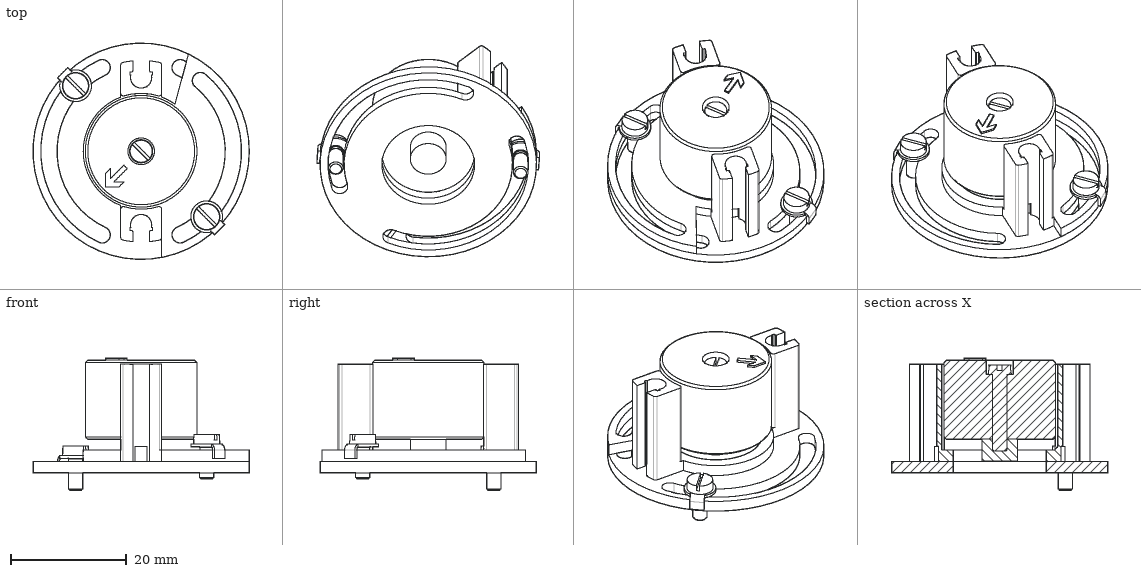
import cadquery as cq
import math

plate_diameter = 37.4
plate_thickness = 2.0
centre_hole_diameter = 16.0
holder_thickness = 2.0
ring_diameter = 20.0
base_top = plate_thickness
holder_top = base_top + holder_thickness

bolt_circle_radius = 15.95
slot_width = 2.75
slot_end_angle = 65.0
sector_turn = 15.0

pillar_width = 7.05
pillar_top = 18.77
pillar_outer_radius = 15.67
pillar_fillet = 0.5
channel_opening = 2.88
channel_diameter = 3.65
channel_centre = 12.75
undercut_width = 3.9
undercut_start = 13.2
undercut_end = 13.73
recess_width = 2.05
recess_top = 4.55
recess_floor = 10.62
wedge_size = 0.55

knob_diameter = 19.3
knob_bottom = 5.75
knob_top = 19.45
knob_chamfer = 0.4
knob_bore_diameter = 4.6
arrow_height = 0.35
arrow_tail = 3.8
arrow_tip = 8.68
arrow_half_width = 1.65
arrow_stem_half_width = 0.4
arrow_band = 1.2
arrow_angle = 225.0

spindle_diameter = 6.2
spindle_bottom = base_top

head_top_diameter = 4.4
head_bottom_diameter = 4.55
head_height = 1.65
neck_diameter = 2.4
shoulder_length = 0.65
neck_length = 0.65
shank_diameter = 2.5
shank_tip_diameter = 2.0
shank_length = 6.02
driver_slot_width = 0.52
driver_slot_depth = 0.95
clamp_angles = (135.0, -45.0)
driver_slot_angle = 135.0

centre_head_top_diameter = 3.8
centre_head_bottom_diameter = 4.0
centre_head_depth = 0.82
centre_screw_depth_in_spindle = 2.0
centre_screw_tip = knob_bottom - centre_screw_depth_in_spindle
centre_screw_seat = knob_top - centre_head_depth - head_height

washer_diameter = 5.5
washer_hole_diameter = 2.7
washer_thickness = 0.5
washer_lift = 0.52
tab_width = 2.5
tab_drop = 2.55
tab_bend_inner_radius = 0.52
screw_circle_radius = 16.0
tab_inner_face = plate_diameter / 2 - screw_circle_radius


def disc(diameter, bottom, top):
    return cq.Workplane("XY").workplane(offset=bottom).circle(diameter / 2).extrude(top - bottom)


def block(x_range, y_range, z_range):
    sizes = [high - low for low, high in (x_range, y_range, z_range)]
    return cq.Workplane("XY").box(*sizes, centered=False).translate((x_range[0], y_range[0], z_range[0]))


def polar(radius, angle):
    return (radius * math.cos(math.radians(angle)), radius * math.sin(math.radians(angle)))


def turned(shape, angle):
    return shape.rotate((0, 0, 0), (0, 0, 1), angle)


def curved_slot(start_angle, end_angle):
    """Cutter for a round-ended slot that follows the bolt circle."""
    inner = bolt_circle_radius - slot_width / 2
    outer = bolt_circle_radius + slot_width / 2
    middle_angle = (start_angle + end_angle) / 2
    end_cap = math.degrees(slot_width / 2 / bolt_circle_radius)
    return (
        cq.Workplane("XY")
        .moveTo(*polar(inner, start_angle))
        .threePointArc(polar(inner, middle_angle), polar(inner, end_angle))
        .threePointArc(polar(bolt_circle_radius, end_angle + end_cap), polar(outer, end_angle))
        .threePointArc(polar(outer, middle_angle), polar(outer, start_angle))
        .threePointArc(polar(bolt_circle_radius, start_angle - end_cap), polar(inner, start_angle))
        .close()
        .extrude(holder_top)
    )


def make_base_plate():
    plate = disc(plate_diameter, 0, base_top).cut(disc(centre_hole_diameter, 0, base_top))
    for middle in (0.0, 180.0):
        plate = plate.cut(curved_slot(middle - slot_end_angle, middle + slot_end_angle))
    return plate


def pillar_blank(bottom, top):
    """Pillar on the -Y side, between the ring and the outer arc, with sharp corners."""
    strip = block((-pillar_width / 2, pillar_width / 2), (-pillar_outer_radius, 0), (bottom, top))
    hollow = disc(ring_diameter, bottom, top)
    return strip.intersect(disc(2 * pillar_outer_radius, bottom, top)).cut(hollow)


def channel():
    """Cutter for the keyhole channel and the flat recess at its foot, on the -Y side."""
    z_range = (base_top, pillar_top)
    bore = disc(channel_diameter, *z_range).translate((0, -channel_centre, 0))
    opening_x = (-channel_opening / 2, channel_opening / 2)
    opening = block(opening_x, (-pillar_outer_radius, -channel_centre), z_range)
    undercut_x = (-undercut_width / 2, undercut_width / 2)
    undercut = block(undercut_x, (-undercut_end, -undercut_start), z_range)
    recess_x = (-recess_width / 2, recess_width / 2)
    recess = block(recess_x, (-channel_centre, -recess_floor), (base_top, recess_top))
    return bore.union(opening).union(undercut).union(recess)


def pillar(rounded_foot_corners):
    """Pillar on the -Y side; the foot stays sharp where it runs into the ring or the sector."""
    column = pillar_blank(holder_top, pillar_top).edges("|Z").fillet(pillar_fillet)
    foot = pillar_blank(base_top, holder_top)
    foot = foot.edges("|Z").edges("<Y").edges(rounded_foot_corners).fillet(pillar_fillet)
    return foot.union(column).cut(channel())


def raised_sector():
    """Sector whose two sides line up with the +X pillar side, one of them turned about Z."""
    z_range = (base_top, holder_top)
    side = pillar_width / 2
    half_size = plate_diameter
    lower = block((side, half_size), (-half_size, 0), z_range)
    upper = turned(block((side, half_size), (0, half_size), z_range), -sector_turn)
    sector = lower.union(upper).intersect(disc(plate_diameter, *z_range))
    return sector.cut(curved_slot(-slot_end_angle, slot_end_angle - sector_turn))


def ring_wedge():
    """45 degree wedge between the ring and the +Y pillar."""
    outer = ring_diameter / 2
    return (
        cq.Workplane("YZ")
        .polyline([(outer, holder_top), (outer, holder_top + wedge_size), (outer - wedge_size, holder_top)])
        .close()
        .extrude(recess_width / 2, both=True)
    )


def make_holder():
    holder = disc(ring_diameter, base_top, holder_top).union(raised_sector())
    holder = holder.union(pillar("<X")).union(turned(pillar("<X or >X"), 180))
    holder = holder.union(ring_wedge())
    return holder.cut(disc(centre_hole_diameter, base_top, holder_top))


def arrow():
    shoulder = arrow_tip - arrow_half_width
    stem_end = shoulder - arrow_band + arrow_half_width - arrow_stem_half_width
    right_side = [
        (arrow_tail, -arrow_stem_half_width),
        (stem_end, -arrow_stem_half_width),
        (shoulder - arrow_band, -arrow_half_width),
        (shoulder, -arrow_half_width),
    ]
    left_side = [(x, -y) for x, y in reversed(right_side)]
    outline = right_side + [(arrow_tip, 0)] + left_side
    raised = cq.Workplane("XY").workplane(offset=knob_top).polyline(outline).close().extrude(arrow_height)
    return turned(raised, arrow_angle)


def make_knob():
    knob = disc(knob_diameter, knob_bottom, knob_top).faces("<Z or >Z").chamfer(knob_chamfer)
    knob = knob.cut(disc(knob_bore_diameter, centre_screw_seat, knob_top))
    knob = knob.cut(disc(shank_diameter, knob_bottom, knob_top))
    return knob.union(arrow())


def make_spindle():
    spindle = disc(spindle_diameter, spindle_bottom, knob_bottom)
    return spindle.cut(centre_screw_blank())


def screw_blank(head_top, head_bottom, length):
    """Turned screw along Z with a slightly tapered head and its head underside at Z = 0."""
    tip_chamfer = (shank_diameter - shank_tip_diameter) / 2
    profile = [
        (0, head_height),
        (head_top / 2, head_height),
        (head_bottom / 2, 0),
        (shank_diameter / 2, 0),
        (shank_diameter / 2, tip_chamfer - length),
        (shank_tip_diameter / 2, -length),
        (0, -length),
    ]
    return cq.Workplane("XZ").polyline(profile).close().revolve(360, (0, 0, 0), (0, 1, 0))


def neck_groove():
    """Ring cutter that leaves a thinner neck just below the shoulder of a clamp screw."""
    neck_bottom = -shoulder_length - neck_length
    ring = disc(head_bottom_diameter, neck_bottom, -shoulder_length)
    return ring.cut(disc(neck_diameter, neck_bottom, -shoulder_length))


def driver_slot():
    half_length = head_bottom_diameter
    half_width = driver_slot_width / 2
    z_range = (head_height - driver_slot_depth, head_height)
    return turned(block((-half_length, half_length), (-half_width, half_width), z_range), driver_slot_angle)


def centre_screw_blank():
    blank = screw_blank(
        centre_head_top_diameter, centre_head_bottom_diameter, centre_screw_seat - centre_screw_tip
    )
    return blank.translate((0, 0, centre_screw_seat))


def make_centre_screw():
    return centre_screw_blank().cut(driver_slot().translate((0, 0, centre_screw_seat)))


def make_clamp_screw(angle, underside):
    screw = screw_blank(head_top_diameter, head_bottom_diameter, shank_length)
    screw = screw.cut(driver_slot()).cut(neck_groove())
    return screw.translate((*polar(screw_circle_radius, angle), underside))


def make_tab_washer(angle, top):
    """Washer with a tab bent down over the rim of the plate."""
    bend_outer = tab_bend_inner_radius + washer_thickness
    tab_outer_face = tab_inner_face + washer_thickness
    bend_start = tab_outer_face - bend_outer
    half_bend = math.sqrt(0.5)
    tab = (
        cq.Workplane("XZ")
        .moveTo(bend_start, 0)
        .threePointArc(
            (bend_start + bend_outer * half_bend, bend_outer * (half_bend - 1)),
            (tab_outer_face, -bend_outer),
        )
        .lineTo(tab_outer_face, -tab_drop)
        .lineTo(tab_inner_face, -tab_drop)
        .lineTo(tab_inner_face, -bend_outer)
        .threePointArc(
            (
                bend_start + tab_bend_inner_radius * half_bend,
                tab_bend_inner_radius * half_bend - bend_outer,
            ),
            (bend_start, -washer_thickness),
        )
        .close()
        .extrude(tab_width / 2, both=True)
    )
    body = disc(washer_diameter, -washer_thickness, 0)
    trim_y = (-tab_width / 2, tab_width / 2)
    body = body.cut(block((bend_start, washer_diameter), trim_y, (-washer_thickness, 0)))
    washer = body.union(tab).cut(disc(washer_hole_diameter, -washer_thickness, 0))
    return turned(washer, angle).translate((*polar(screw_circle_radius, angle), top))


base_plate = make_base_plate()
holder = make_holder()
knob = make_knob()
spindle = make_spindle()
centre_screw = make_centre_screw()

clamp_screws = []
tab_washers = []
for clamp_angle, seat in zip(clamp_angles, (base_top, holder_top)):
    washer_top = seat + washer_lift + washer_thickness
    clamp_screws.append(make_clamp_screw(clamp_angle, washer_top))
    tab_washers.append(make_tab_washer(clamp_angle, washer_top))

bodies = [base_plate, holder, knob, spindle, centre_screw, *clamp_screws, *tab_washers]
result = cq.Compound.makeCompound([body.val() for body in bodies])